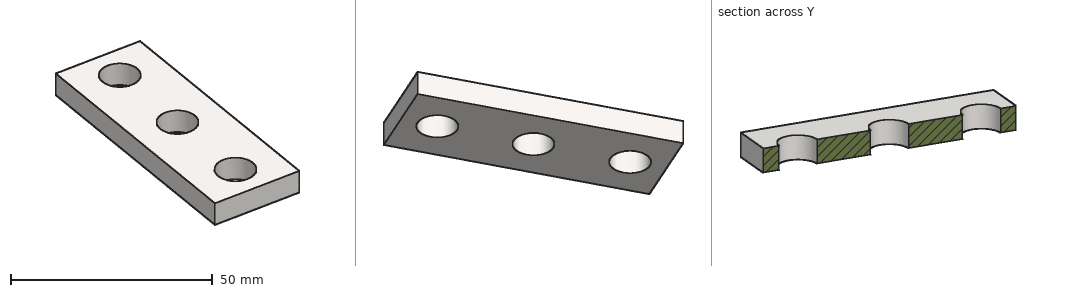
import cadquery as cq

plate_length = 69.85
plate_width = 25.4
plate_thickness = 6.5

hole_diameter = 10.41
left_edge_distance = 9.65
right_edge_distance = 9.525

left_hole_x = -plate_length / 2 + left_edge_distance
middle_hole_x = 0.0
right_hole_x = plate_length / 2 - right_edge_distance


def make_plate():
    """Flat rectangular bar."""
    return cq.Workplane("XY").box(plate_length, plate_width, plate_thickness)


def drill_holes(plate):
    """Row of three equal through holes; the left one sits slightly closer to the middle."""
    centres = [(x, 0) for x in (left_hole_x, middle_hole_x, right_hole_x)]
    return plate.faces(">Z").workplane().pushPoints(centres).hole(hole_diameter)


result = drill_holes(make_plate())